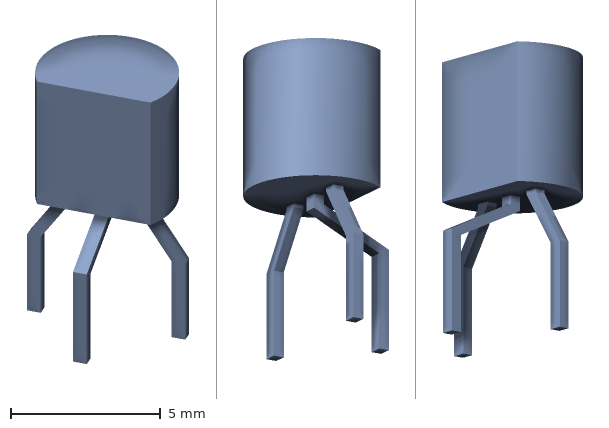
import cadquery as cq

body_radius = 2.41
body_height = 4.79
overall_height = 9.8
flat_distance = 1.33

lead_width = 0.49
lead_thickness = 0.38
lead_row_x = 0.03

outer_span = 5.62
outer_root_offset = 1.28
outer_foot_offset = (outer_span - lead_width) / 2
outer_splay_start = 0.13
outer_splay_end = 2.01
outer_length = 4.98

middle_reach = 2.72
middle_foot_offset = middle_reach - lead_thickness / 2
middle_splay_start = 0.31
middle_splay_drop = 1.19
middle_length = overall_height - body_height


def make_body():
    """Cylinder cut off by the flat on its -Y side."""
    cylinder = cq.Workplane("XY").circle(body_radius).extrude(body_height)
    kept_depth = body_radius + flat_distance
    kept_block = cq.Workplane("XY").box(
        2 * body_radius, kept_depth, body_height, centered=(True, False, False)
    ).translate((0, -flat_distance, 0))
    return cylinder.intersect(kept_block)


def make_outer_lead(side):
    """Lead that splays towards side (-1 for -X, +1 for +X)."""
    root = lead_row_x + side * outer_root_offset
    foot = lead_row_x + side * outer_foot_offset
    half = lead_width / 2
    return (
        cq.Workplane("XZ")
        .polyline([
            (root - half, 0),
            (root - half, -outer_splay_start),
            (foot - half, -outer_splay_end),
            (foot - half, -outer_length),
            (foot + half, -outer_length),
            (foot + half, -outer_splay_end),
            (root + half, -outer_splay_start),
            (root + half, 0),
        ])
        .close()
        .extrude(lead_thickness / 2, both=True)
    )


def make_middle_lead():
    """Lead that bends towards -Y, then runs straight down."""
    half = lead_thickness / 2
    bend_step = lead_thickness * middle_splay_drop / middle_foot_offset
    bend_depth = middle_splay_start + middle_splay_drop
    foot = -middle_foot_offset
    return (
        cq.Workplane("YZ")
        .polyline([
            (-half, 0),
            (-half, -middle_splay_start),
            (foot - half, -bend_depth),
            (foot - half, -middle_length),
            (foot + half, -middle_length),
            (foot + half, -bend_depth - bend_step),
            (half, -middle_splay_start - bend_step),
            (half, 0),
        ])
        .close()
        .extrude(lead_width / 2, both=True)
    )


result = make_body().union(make_middle_lead())
for side in (-1, 1):
    result = result.union(make_outer_lead(side))